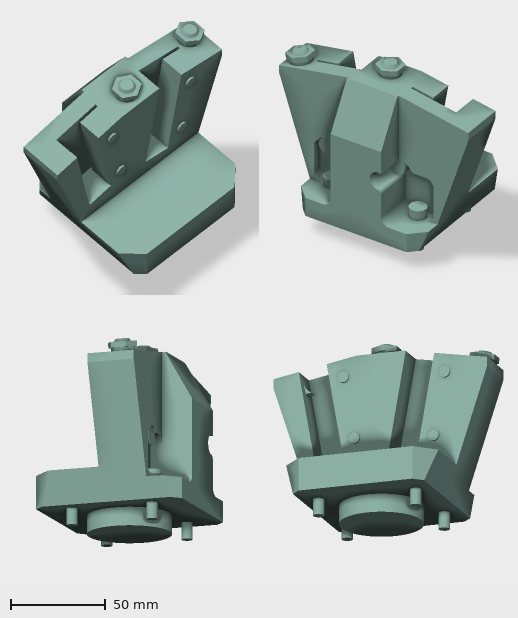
import cadquery as cq
import math

BASE_HALF_X = 41.0
BASE_HALF_Y = 36.8
BASE_TOP = 18.0
LEDGE_TOP = 11.3
CORNER_START_Y = 32.0

PLATE_FRONT_X = -24.0
PLATE_BACK_X = 2.0
BODY_HALF_Y = 60.0
FLANK_TOP = 71.0
ROOF_TOP = 84.0
ROOF_HALF_Y = 13.2
ROOF_ANGLE = 10.0

COLUMN_HALF_Y = 16.0
COLUMN_BEVEL_X = -25.5
COLUMN_BEVEL_ANGLE = 30.0

RECESS_OUTER_Y = 38.0
RECESS_TOP = 38.0
RECESS_BACK_X = -17.5
RECESS_RADIUS = 5.0
RELIEF_RADIUS = 9.6
RELIEF_OUTER_Y = -24.3
RELIEF_CENTRE_Z = 33.6

SLOT_FRONT_X = -14.0
ARM_FRONT_X = -12.3
LEFT_SLOT_Y = (14.3, 43.0)
LEFT_ARM_Y = (30.2, 43.0)
LEFT_SLOT_DEPTH = 56.8
RIGHT_SLOT_Y = (17.2, 45.7)
RIGHT_ARM_Y = (17.2, 30.1)
RIGHT_SLOT_DEPTH = 51.5
RIGHT_BEVEL_WIDTH = 0.6
RIGHT_BEVEL_HEIGHT = 3.0
RAMP_RADIUS = 7.0
RAMP_SWEEP = 60.0
RAMP_WIDTH = 5.1
RAMP_START_DEPTH = 5.0

PIN_DIAMETER = 6.0
PIN_END_X = 3.2
PIN_HEAD_DIAMETER = 10.0
PIN_HEAD_X = -23.5
PIN_BORE_DIAMETER = 11.0
PIN_PITCH = 35.0
LEFT_PIN = (30.2, 35.3)
RIGHT_PIN = (-14.3, 38.2)
GROOVE_LIP_RADIUS = 2.0

SPIGOT_DIAMETER = 45.0
SPIGOT_LENGTH = 10.0
SCREW_X = 22.5
SCREW_Y = 27.2
SCREW_DIAMETER = 6.0
SCREW_LENGTH = 9.0
SCREW_HEAD_DIAMETER = 10.0
SCREW_HEAD_HEIGHT = 6.0

STUD_POCKET_DIAMETER = 14.0
STUD_POCKET_DEPTH = 0.5
STUD_COLLAR_DIAMETER = 12.6
STUD_COLLAR_HEIGHT = 2.0
STUD_HEX_ACROSS_FLATS = 14.0
STUD_HEX_HEIGHT = 3.1
STUD_TIP_DIAMETER = 9.6
STUD_TIP_TOP_DIAMETER = 7.2
STUD_TOP = 6.78
CENTRE_STUD_X = -8.0
SIDE_STUD_X = -15.0
SIDE_STUD_Y = 51.7

roof_fall = math.tan(math.radians(ROOF_ANGLE))
eaves_z = ROOF_TOP - (BODY_HALF_Y - ROOF_HALF_Y) * roof_fall
flank_slope = (BODY_HALF_Y - BASE_HALF_Y) / FLANK_TOP
corner_bevel = BASE_HALF_Y + BASE_TOP * flank_slope - CORNER_START_Y
margin = 10.0


def prism_along_x(outline, x_start, x_end):
    """Solid with a closed (Y, Z) outline, running along X."""
    return cq.Workplane("YZ").workplane(offset=x_start).polyline(outline).close().extrude(x_end - x_start)


def cylinder_along_x(diameter, centre, x_start, x_end):
    """Cylinder along X with its axis at centre = (Y, Z)."""
    plane = cq.Workplane("YZ").workplane(offset=x_start)
    return plane.center(*centre).circle(diameter / 2).extrude(x_end - x_start)


def box_between(y_start, y_end, z_start, z_end, x_start, x_end):
    """Box between the given limits."""
    size = (x_end - x_start, y_end - y_start, z_end - z_start)
    return cq.Workplane("XY").box(*size, centered=False).translate((x_start, y_start, z_start))


def roof_point(side, y, depth):
    """(Y, Z) of the point at the given depth square below the outer roof plane; side is +1 or -1."""
    tilt = math.radians(ROOF_ANGLE)
    roof_z = ROOF_TOP - (y - ROOF_HALF_Y) * roof_fall
    return (side * (y - depth * math.sin(tilt)), roof_z - depth * math.cos(tilt))


def body():
    """Full-length block with the roof and flank profile, cut back to base, upright and column."""
    half_profile = [
        (BASE_HALF_Y, 0),
        (BODY_HALF_Y, FLANK_TOP),
        (BODY_HALF_Y, eaves_z),
        (ROOF_HALF_Y, ROOF_TOP),
    ]
    mirrored = [(-y, z) for y, z in reversed(half_profile)]
    block = prism_along_x(half_profile + mirrored, -BASE_HALF_X, BASE_HALF_X)

    block = block.cut(box_between(-BODY_HALF_Y, BODY_HALF_Y, BASE_TOP, ROOF_TOP, PLATE_BACK_X, BASE_HALF_X))

    for side in (1, -1):
        space = box_between(COLUMN_HALF_Y, BODY_HALF_Y, LEDGE_TOP, ROOF_TOP, -BASE_HALF_X, PLATE_FRONT_X)
        space = space.edges("|X and <Y and <Z").fillet(RECESS_RADIUS)
        if side < 0:
            space = space.mirror("XZ")
        block = block.cut(space)
    return bevel_column(bevel_base_corners(block))


def bevel_base_corners(block):
    """Cut the four vertical corners of the base at 45 degrees."""
    edge_y = CORNER_START_Y + corner_bevel
    for side_x in (1, -1):
        for side_y in (1, -1):
            corner = [
                (side_x * BASE_HALF_X, side_y * CORNER_START_Y),
                (side_x * BASE_HALF_X, side_y * edge_y),
                (side_x * (BASE_HALF_X - corner_bevel), side_y * edge_y),
            ]
            block = block.cut(cq.Workplane("XY").polyline(corner).close().extrude(BASE_TOP))
    return block


def bevel_column(block):
    """Slope the front of the column back towards the roof."""
    drop = (COLUMN_BEVEL_X + BASE_HALF_X) / math.tan(math.radians(COLUMN_BEVEL_ANGLE))
    wedge = [(-BASE_HALF_X, ROOF_TOP - drop), (COLUMN_BEVEL_X, ROOF_TOP), (-BASE_HALF_X, ROOF_TOP)]
    cutter = cq.Workplane("XZ").polyline(wedge).close().extrude(COLUMN_HALF_Y, both=True)
    return block.cut(cutter)


def cut_recesses(block):
    """Round-cornered recesses in the upright, with a relief above the right one."""
    for y_start, y_end in ((COLUMN_HALF_Y, RECESS_OUTER_Y), (-RECESS_OUTER_Y, -COLUMN_HALF_Y)):
        recess = box_between(y_start, y_end, LEDGE_TOP, RECESS_TOP, PLATE_FRONT_X - margin, RECESS_BACK_X)
        block = block.cut(recess.edges("|X").fillet(RECESS_RADIUS))

    def relief_point(y):
        rise = math.sqrt(RELIEF_RADIUS**2 - (y + COLUMN_HALF_Y) ** 2)
        return (y, RELIEF_CENTRE_Z + rise)

    middle_y = (RELIEF_OUTER_Y - COLUMN_HALF_Y) / 2
    relief_floor = RECESS_TOP - RECESS_RADIUS
    relief = (
        cq.Workplane("YZ")
        .workplane(offset=PLATE_FRONT_X)
        .moveTo(-COLUMN_HALF_Y, relief_floor)
        .lineTo(*relief_point(-COLUMN_HALF_Y))
        .threePointArc(relief_point(middle_y), relief_point(RELIEF_OUTER_Y))
        .lineTo(RELIEF_OUTER_Y, relief_floor)
        .close()
        .extrude(RECESS_BACK_X - PLATE_FRONT_X)
    )
    return block.cut(relief)


def cut_pin_bores(block):
    """Clearance bores round the lower pin heads; the right one runs out along the column as a groove."""
    block = block.cut(cylinder_along_x(PIN_BORE_DIAMETER, LEFT_PIN, PLATE_FRONT_X, RECESS_BACK_X))
    block = block.cut(cylinder_along_x(PIN_BORE_DIAMETER, RIGHT_PIN, -BASE_HALF_X, RECESS_BACK_X))

    groove_y, groove_z = RIGHT_PIN
    bore_radius = PIN_BORE_DIAMETER / 2
    lip_y = GROOVE_LIP_RADIUS - COLUMN_HALF_Y
    reach = bore_radius + GROOVE_LIP_RADIUS
    lip_drop = math.sqrt(reach**2 - (lip_y - groove_y) ** 2)
    lip_z = groove_z - lip_drop
    end_angle = math.atan2(lip_drop, groove_y - lip_y)
    middle_angle = (math.pi + end_angle) / 2

    def lip_point(angle):
        return (lip_y + GROOVE_LIP_RADIUS * math.cos(angle), lip_z + GROOVE_LIP_RADIUS * math.sin(angle))

    lip = (
        cq.Workplane("YZ")
        .workplane(offset=-BASE_HALF_X)
        .moveTo(-COLUMN_HALF_Y, lip_z)
        .threePointArc(lip_point(middle_angle), lip_point(end_angle))
        .lineTo(groove_y, groove_z)
        .lineTo(-COLUMN_HALF_Y, groove_z)
        .close()
        .extrude(RECESS_BACK_X + BASE_HALF_X)
    )
    return block.cut(lip)


def tilted_space(side, y_range, depth, x_start, bevel_width=0.0, bevel_height=0.0):
    """Space square to the outer roof plane, open above it and to the back of the upright."""
    inner, outer = y_range
    outline = [
        roof_point(side, inner, -margin),
        roof_point(side, inner, depth),
        roof_point(side, outer - bevel_width, depth),
    ]
    if bevel_width:
        outline.append(roof_point(side, outer, depth - bevel_height))
    outline.append(roof_point(side, outer, -margin))
    return prism_along_x(outline, x_start, PLATE_BACK_X)


def cut_slots(block):
    """One tilted slot per side, each keeping an arm that stands clear of the slot's front wall."""
    left = tilted_space(1, LEFT_SLOT_Y, LEFT_SLOT_DEPTH, SLOT_FRONT_X)
    left = left.cut(tilted_space(1, LEFT_ARM_Y, LEFT_SLOT_DEPTH, ARM_FRONT_X))
    right = tilted_space(
        -1, RIGHT_SLOT_Y, RIGHT_SLOT_DEPTH, SLOT_FRONT_X, RIGHT_BEVEL_WIDTH, RIGHT_BEVEL_HEIGHT
    )
    right = right.cut(tilted_space(-1, RIGHT_ARM_Y, RIGHT_SLOT_DEPTH, ARM_FRONT_X))
    return block.cut(left).cut(right)


def slot_ramp():
    """Narrow rib on the right slot's outer wall; its top starts tangent to the wall and curves outwards."""
    wall_y = RIGHT_SLOT_Y[1]
    roof_cosine = math.cos(math.radians(ROOF_ANGLE))

    def ramp_point(angle):
        standout = RAMP_RADIUS * (1 - math.cos(angle))
        depth = RAMP_START_DEPTH + RAMP_RADIUS * math.sin(angle)
        return roof_point(-1, wall_y - standout * roof_cosine, depth)

    sweep = math.radians(RAMP_SWEEP)
    foot_depth = RAMP_START_DEPTH + RAMP_RADIUS * math.sin(sweep)
    x_start = (SLOT_FRONT_X + PLATE_BACK_X - RAMP_WIDTH) / 2
    return (
        cq.Workplane("YZ")
        .workplane(offset=x_start)
        .moveTo(*ramp_point(0))
        .threePointArc(ramp_point(sweep / 2), ramp_point(sweep))
        .lineTo(*roof_point(-1, wall_y, foot_depth))
        .close()
        .extrude(RAMP_WIDTH)
    )


def pivot_pins():
    """Two pins per arm, one above the other along the tilt; only the lower ones have heads."""
    tilt = math.radians(ROOF_ANGLE)
    pins = cq.Workplane("XY")
    for side, (y, z) in ((1, LEFT_PIN), (-1, RIGHT_PIN)):
        upper = (y + side * PIN_PITCH * math.sin(tilt), z + PIN_PITCH * math.cos(tilt))
        for centre in ((y, z), upper):
            pins = pins.union(cylinder_along_x(PIN_DIAMETER, centre, RECESS_BACK_X, PIN_END_X))
        pins = pins.union(cylinder_along_x(PIN_HEAD_DIAMETER, (y, z), PIN_HEAD_X, RECESS_BACK_X))
    return pins


def base_fittings():
    """Spigot and four screw shanks below the base; the two front screws show their heads."""
    fittings = cq.Workplane("XY").circle(SPIGOT_DIAMETER / 2).extrude(-SPIGOT_LENGTH)
    shanks = cq.Workplane("XY").rect(2 * SCREW_X, 2 * SCREW_Y, forConstruction=True).vertices()
    fittings = fittings.union(shanks.circle(SCREW_DIAMETER / 2).extrude(-SCREW_LENGTH))
    head_places = [(-SCREW_X, SCREW_Y), (-SCREW_X, -SCREW_Y)]
    heads = cq.Workplane("XY").workplane(offset=LEDGE_TOP).pushPoints(head_places)
    return fittings.union(heads.circle(SCREW_HEAD_DIAMETER / 2).extrude(SCREW_HEAD_HEIGHT))


def add_stud(block, x, y, roof_z, tilt):
    """Hexagon rest stud in a shallow round pocket, square to a roof plane that falls by tilt degrees."""
    pocket = cq.Workplane("XY").circle(STUD_POCKET_DIAMETER / 2).extrude(-STUD_POCKET_DEPTH)
    collar = (
        cq.Workplane("XY")
        .workplane(offset=-STUD_POCKET_DEPTH)
        .circle(STUD_COLLAR_DIAMETER / 2)
        .extrude(STUD_POCKET_DEPTH + STUD_COLLAR_HEIGHT)
    )
    across_corners = STUD_HEX_ACROSS_FLATS / math.cos(math.pi / 6)
    hexagon = cq.Workplane("XY").polygon(6, across_corners).extrude(STUD_HEX_HEIGHT)
    hexagon = hexagon.translate((0, 0, STUD_COLLAR_HEIGHT))
    hex_top = STUD_COLLAR_HEIGHT + STUD_HEX_HEIGHT
    tip_radii = (STUD_TIP_DIAMETER / 2, STUD_TIP_TOP_DIAMETER / 2)
    tip = cq.Solid.makeCone(*tip_radii, STUD_TOP - hex_top, pnt=cq.Vector(0, 0, hex_top))
    stud = collar.union(hexagon).union(cq.Workplane(tip))

    def place(shape):
        return shape.rotate((0, 0, 0), (1, 0, 0), -tilt).translate((x, y, roof_z))

    return block.cut(place(pocket)).union(place(stud))


result = body()
result = cut_recesses(result)
result = cut_pin_bores(result)
result = cut_slots(result)
result = result.union(slot_ramp())
result = result.union(pivot_pins())
result = result.union(base_fittings())
result = add_stud(result, CENTRE_STUD_X, 0, ROOF_TOP, 0)
side_stud_z = roof_point(1, SIDE_STUD_Y, 0)[1]
result = add_stud(result, SIDE_STUD_X, SIDE_STUD_Y, side_stud_z, ROOF_ANGLE)